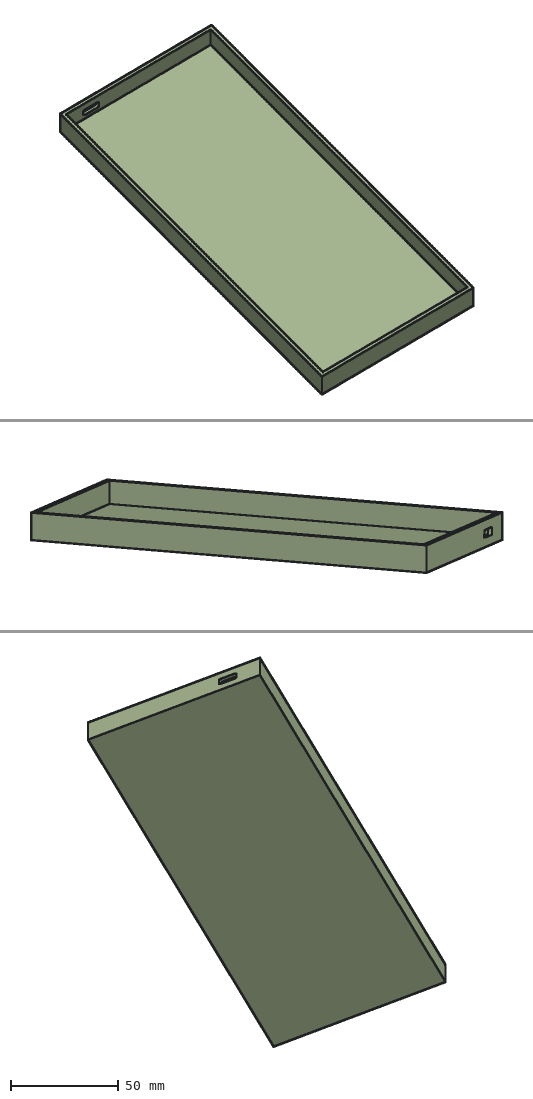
import cadquery as cq

length = 201.2
width = 89.0
height = 13.0
wall = 2.0
floor = 2.0

slot_length = 9.0
slot_height = 3.6
slot_corner_radius = 1.0
slot_from_front = 16.7
slot_centre_y = slot_from_front - width / 2
slot_centre_z = 6.5


def make_tray():
    """Open-topped rectangular tray with its underside at Z = 0."""
    body = cq.Workplane("XY").box(length, width, height, centered=(True, True, False))
    cavity = (
        cq.Workplane("XY", origin=(0, 0, floor))
        .rect(length - 2 * wall, width - 2 * wall)
        .extrude(height - floor)
    )
    return body.cut(cavity)


def make_cable_slot():
    """Round-cornered slot lying along Y, as deep as the end wall is thick."""
    return (
        cq.Workplane("YZ", origin=(-length / 2, slot_centre_y, slot_centre_z))
        .rect(slot_length, slot_height)
        .extrude(wall)
        .edges("|X")
        .fillet(slot_corner_radius)
    )


result = make_tray().cut(make_cable_slot())